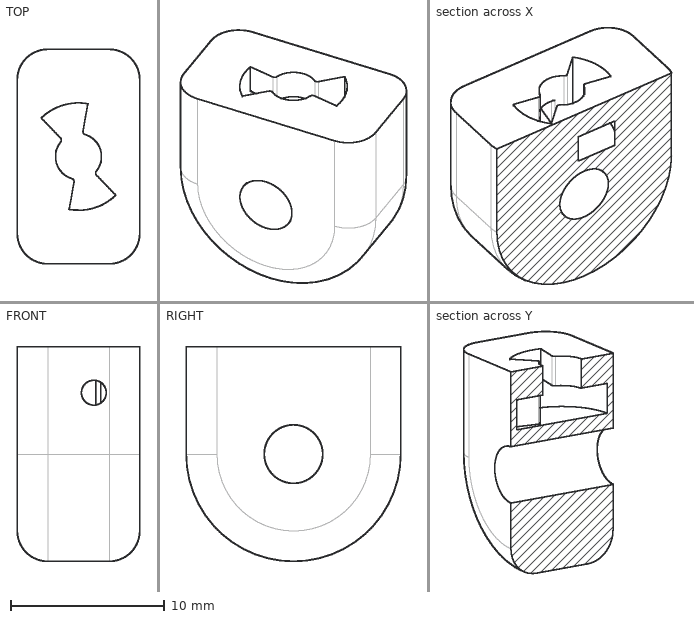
import cadquery as cq
import math

WIDTH = 8.0
END_RADIUS = 7.0
TOP_Z = 7.0
EDGE_RADIUS = 2.0

CROSS_HOLE_DIAMETER = 3.8

CORE_RADIUS = 1.5
WING_RADIUS = 3.5
WING_START_ANGLE = 80.0
WING_END_ANGLE = 134.0
KEY_TURN_ANGLE = 90.0
KEYWAY_DEPTH = 2.0
CHAMBER_HEIGHT = 2.0
WING_ROOT_RADIUS = 0.2

PIN_HOLE_DIAMETER = 1.62
PIN_HOLE_X = 1.0
PIN_HOLE_BELOW_TOP = 3.0
PIN_HOLE_DEPTH = 3.82


def polar(radius, angle):
    """Point at the given radius and angle (degrees) about the socket axis."""
    return (radius * math.cos(math.radians(angle)), radius * math.sin(math.radians(angle)))


def make_body():
    outline = (
        cq.Workplane("YZ")
        .moveTo(-END_RADIUS, TOP_Z)
        .lineTo(-END_RADIUS, 0)
        .threePointArc((0, -END_RADIUS), (END_RADIUS, 0))
        .lineTo(END_RADIUS, TOP_Z)
        .close()
    )
    body = outline.extrude(WIDTH / 2, both=True)
    return body.faces("<X or >X").edges("not >Z").fillet(EDGE_RADIUS)


def make_wing(start, end, floor_z, height):
    """Sector of the wing circle between two angles."""
    return (
        cq.Workplane("XY", origin=(0, 0, floor_z))
        .lineTo(*polar(WING_RADIUS, start))
        .threePointArc(polar(WING_RADIUS, (start + end) / 2), polar(WING_RADIUS, end))
        .close()
        .extrude(height)
    )


def make_winged_core(wing_start, floor_z, height):
    """Round core with two opposite wings and rounded wing roots."""
    core = cq.Workplane("XY", origin=(0, 0, floor_z)).circle(CORE_RADIUS).extrude(height)
    for turn in (0, 180):
        core = core.union(make_wing(wing_start + turn, WING_END_ANGLE + turn, floor_z, height))
    root_box = cq.selectors.BoxSelector(
        (-CORE_RADIUS, -CORE_RADIUS, floor_z),
        (CORE_RADIUS, CORE_RADIUS, floor_z + height),
    )
    return core.edges("|Z").edges(root_box).fillet(WING_ROOT_RADIUS)


def make_socket():
    keyway_floor = TOP_Z - KEYWAY_DEPTH
    keyway = make_winged_core(WING_START_ANGLE, keyway_floor, KEYWAY_DEPTH)
    chamber = make_winged_core(
        WING_START_ANGLE - KEY_TURN_ANGLE, keyway_floor - CHAMBER_HEIGHT, CHAMBER_HEIGHT
    )
    return keyway.union(chamber)


def make_cross_hole():
    return cq.Workplane("YZ").circle(CROSS_HOLE_DIAMETER / 2).extrude(WIDTH / 2, both=True)


def make_pin_hole():
    return (
        cq.Workplane("XZ", origin=(PIN_HOLE_X, -END_RADIUS, TOP_Z - PIN_HOLE_BELOW_TOP))
        .circle(PIN_HOLE_DIAMETER / 2)
        .extrude(-PIN_HOLE_DEPTH)
    )


result = make_body().cut(make_socket()).cut(make_cross_hole()).cut(make_pin_hole())